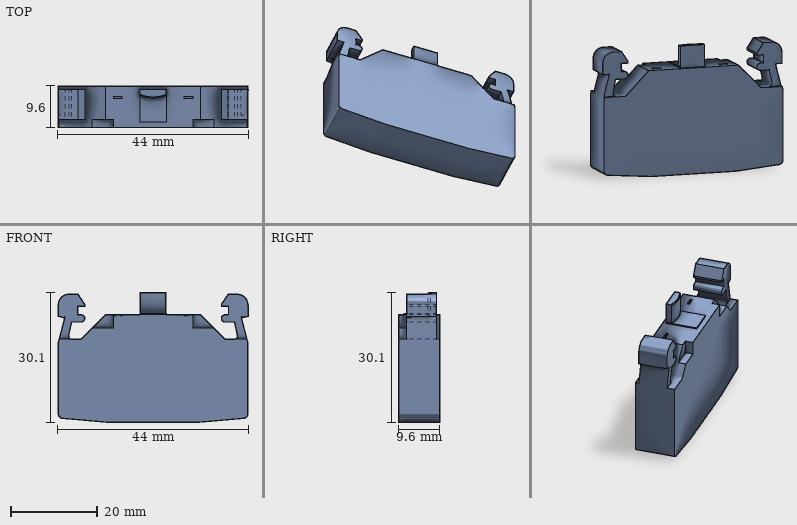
import cadquery as cq
import math

width = 43.9
depth = 9.6
top_z = 24.95
shelf_z = 19.25
half_width = width / 2
top_half_width = 11.0
slope_foot_x = top_half_width + top_z - shelf_z
slope_foot_radius = 0.85
bottom_half_width = 10.3
bottom_angle = 5.0
bottom_rise = (half_width - bottom_half_width) * math.tan(math.radians(bottom_angle))
bottom_corner_radius = 1.05
back_plate_thickness = 0.8
back_plate_y = depth - back_plate_thickness

stem_outer_top_x = 20.35
head_underside_z = 24.55
flank_top_z = 18.5
stem_lean = (half_width - stem_outer_top_x) / (head_underside_z - flank_top_z)
shelf_edge_x = half_width - stem_lean * (shelf_z - flank_top_z)

pocket_inner_x = 9.2
pocket_floor_z = 21.85
pocket_depth = 1.85

gap_inner_x = 7.2
gap_width = 2.0
gap_front_y = 6.78
gap_length = 0.45
gap_depth = 0.25

clip_front_y = pocket_depth
clip_length = back_plate_y - clip_front_y
clip_top_z = 29.7
head_radius = 2.45
head_chamfer_x = 17.4
jaw_tip_x = 15.8
jaw_tip_z = 27.32
notch_wall_x = 17.42
notch_top_z = 26.9
notch_bottom_z = 24.95
finger_bottom_z = 23.25
finger_radius = (notch_bottom_z - finger_bottom_z) / 2
finger_mid_z = (notch_bottom_z + finger_bottom_z) / 2
stem_inner_top_x = 18.85
stem_inner_low_x = 19.5
stem_inner_low_z = 20.2
stem_foot_x = 18.65
stem_root_depth = 0.45

wedge_drop = 0.4
wedge_length = 1.05

fin_projection = 0.1
fin_thickness = 0.1

plunger_top_z = 30.15
plunger_width = 5.95
plunger_front_y = 6.85
plunger_side_y = 7.45
plunger_chamfer = 0.2
pad_width = 6.1
pad_front_y = 1.28
pad_height = 0.25


def prism(profile, start_y, length):
    """Extrude a closed XZ outline towards +Y."""
    return profile.close().extrude(-length).translate((0, start_y, 0))


def box(x, y, z, size_x, size_y, size_z):
    """Box given by its lowest corner and its sizes."""
    return cq.Workplane("XY").box(size_x, size_y, size_z, centered=False).translate((x, y, z))


def fillet_at(solid, x, z, radius):
    """Round the edge that runs along Y through (x, z)."""
    reach = 0.05
    low_corner = (x - reach, -reach, z - reach)
    high_corner = (x + reach, depth + reach, z + reach)
    around_edge = cq.selectors.BoxSelector(low_corner, high_corner)
    return solid.edges("|Y").edges(around_edge).fillet(radius)


def both_sides(solid):
    """The solid together with its mirror image across X = 0."""
    return solid.union(solid.mirror("YZ"))


def make_housing():
    right_half = [
        (bottom_half_width, 0),
        (half_width, bottom_rise),
        (half_width, flank_top_z),
        (shelf_edge_x, shelf_z),
        (slope_foot_x, shelf_z),
        (top_half_width, top_z),
    ]
    left_half = [(-x, z) for x, z in reversed(right_half)]
    housing = prism(cq.Workplane("XZ").polyline(right_half + left_half), 0, depth)
    for side in (-1, 1):
        housing = fillet_at(housing, side * slope_foot_x, shelf_z, slope_foot_radius)
        housing = fillet_at(housing, side * half_width, bottom_rise, bottom_corner_radius)
    return housing


def make_pocket():
    pocket_width = half_width - pocket_inner_x
    return box(pocket_inner_x, 0, pocket_floor_z, pocket_width, pocket_depth, top_z - pocket_floor_z)


def make_tab_gap():
    return box(gap_inner_x, gap_front_y, top_z - gap_depth, gap_width, gap_length, gap_depth)


def make_clip():
    """Right-hand clip: a leaning stem, a rounded head and a jaw with a finger below it."""
    arc_offset = head_radius * (1 - math.sqrt(0.5))
    finger_centre_x = jaw_tip_x + finger_radius
    root_z = shelf_z - stem_root_depth
    profile = (
        cq.Workplane("XZ")
        .moveTo(shelf_edge_x, root_z)
        .lineTo(shelf_edge_x, shelf_z)
        .lineTo(stem_outer_top_x, head_underside_z)
        .lineTo(half_width, head_underside_z)
        .lineTo(half_width, clip_top_z - head_radius)
        .threePointArc(
            (half_width - arc_offset, clip_top_z - arc_offset),
            (half_width - head_radius, clip_top_z),
        )
        .lineTo(head_chamfer_x, clip_top_z)
        .lineTo(jaw_tip_x, jaw_tip_z)
        .lineTo(jaw_tip_x, notch_top_z)
        .lineTo(notch_wall_x, notch_top_z)
        .lineTo(notch_wall_x, notch_bottom_z)
        .lineTo(finger_centre_x, notch_bottom_z)
        .threePointArc((jaw_tip_x, finger_mid_z), (finger_centre_x, finger_bottom_z))
        .lineTo(stem_inner_top_x, finger_bottom_z)
        .lineTo(stem_inner_low_x, stem_inner_low_z)
        .tangentArcPoint((stem_foot_x, shelf_z), relative=False)
        .lineTo(stem_foot_x, root_z)
    )
    return prism(profile, clip_front_y, clip_length).union(make_wedge())


def make_wedge():
    """Filler under the head whose underside slopes down to the stem."""
    low_z = head_underside_z - wedge_drop
    profile = (
        cq.Workplane("XZ")
        .moveTo(half_width, head_underside_z)
        .lineTo(stem_outer_top_x, head_underside_z)
        .lineTo(stem_outer_top_x + stem_lean * wedge_drop, low_z)
    )
    return prism(profile, clip_front_y, wedge_length)


def make_fin():
    fin_height = clip_top_z - head_radius - head_underside_z
    fin_y = back_plate_y - fin_thickness
    return box(half_width, fin_y, head_underside_z, fin_projection, fin_thickness, fin_height)


def make_plunger():
    """Upright key with a bowed front face, standing at the back of its pad."""
    half = plunger_width / 2
    key = (
        cq.Workplane("XY", origin=(0, 0, top_z))
        .moveTo(-half, back_plate_y)
        .lineTo(-half, plunger_side_y)
        .threePointArc((0, plunger_front_y), (half, plunger_side_y))
        .lineTo(half, back_plate_y)
        .close()
        .extrude(plunger_top_z - top_z)
    )
    key = key.faces(">Z").edges("<Y").chamfer(plunger_chamfer)
    pad = box(-pad_width / 2, pad_front_y, top_z, pad_width, back_plate_y - pad_front_y, pad_height)
    return key.union(pad)


result = (
    make_housing()
    .cut(both_sides(make_pocket()))
    .cut(both_sides(make_tab_gap()))
    .union(both_sides(make_clip()))
    .union(make_fin())
    .union(make_plunger())
)